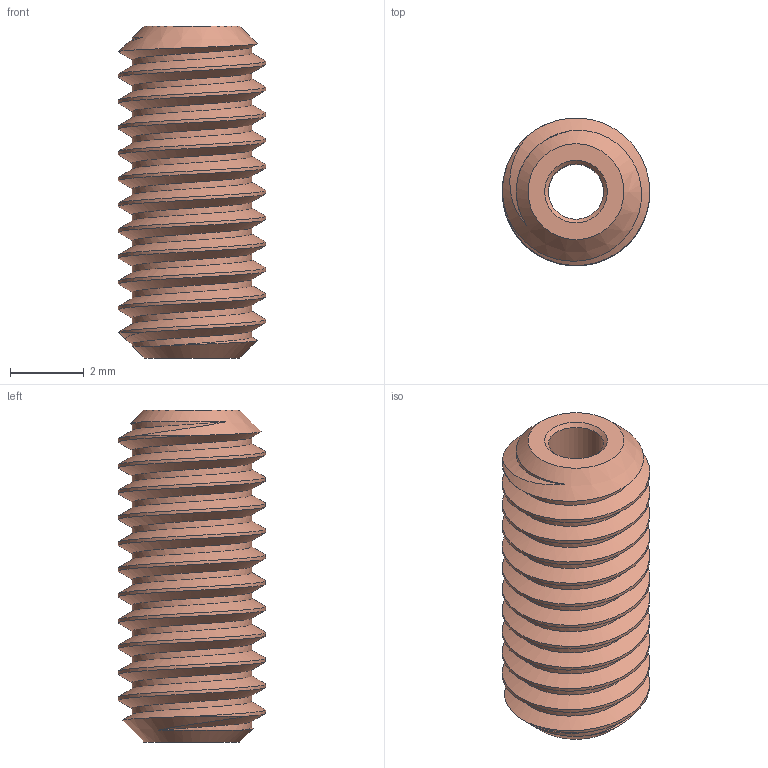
import math

import cadquery as cq

length = 9.0
major_diameter = 4.0
pitch = 0.7
flank_half_angle = math.radians(30)

crest_flat = pitch / 8
root_flat = pitch / 4
thread_depth = (pitch - crest_flat - root_flat) / (2 * math.tan(flank_half_angle))

end_chamfer = 0.7
bore_diameter = 1.5
bore_chamfer = 0.1

major_radius = major_diameter / 2
root_radius = major_radius - thread_depth

radial_overshoot = 0.02
extra_turns = 1

rod_overhang = 3 * pitch


def make_outline():
    """Outline of the screw: a cylinder with a 45 degree chamfer at each end."""
    cylinder = cq.Workplane("XY").circle(major_radius).extrude(length)
    return cylinder.faces("|Z").chamfer(end_chamfer)


def make_thread_groove():
    """Right-hand helical groove; on the +X side a crest is centred at mid-length."""
    turns_below_middle = math.ceil(length / 2 / pitch) + extra_turns
    groove_start = length / 2 - (turns_below_middle - 0.5) * pitch
    groove_height = (2 * turns_below_middle - 1) * pitch

    outer_radius = major_radius + radial_overshoot
    half_root = root_flat / 2
    half_mouth = half_root + (outer_radius - root_radius) * math.tan(flank_half_angle)

    profile = (
        cq.Workplane("XZ")
        .moveTo(root_radius, -half_root)
        .lineTo(outer_radius, -half_mouth)
        .lineTo(outer_radius, half_mouth)
        .lineTo(root_radius, half_root)
        .close()
    )
    helix = cq.Wire.makeHelix(pitch, groove_height, root_radius)
    groove = profile.sweep(cq.Workplane(obj=helix), isFrenet=True)
    return groove.translate((0, 0, groove_start))


def make_bore():
    """Through bore, countersunk at 45 degrees at both ends."""
    bore_radius = bore_diameter / 2
    mouth_radius = bore_radius + bore_chamfer
    return (
        cq.Workplane("XZ")
        .moveTo(0, 0)
        .lineTo(mouth_radius, 0)
        .lineTo(bore_radius, bore_chamfer)
        .lineTo(bore_radius, length - bore_chamfer)
        .lineTo(mouth_radius, length)
        .lineTo(0, length)
        .close()
        .revolve(360, (0, 0, 0), (0, 1, 0))
    )


def make_threaded_rod():
    """Threaded rod that extends past both ends of the screw."""
    rod = (
        cq.Workplane("XY")
        .workplane(offset=-rod_overhang)
        .circle(major_radius)
        .extrude(length + 2 * rod_overhang)
    )
    return rod.cut(make_thread_groove())


result = make_outline().intersect(make_threaded_rod()).cut(make_bore())